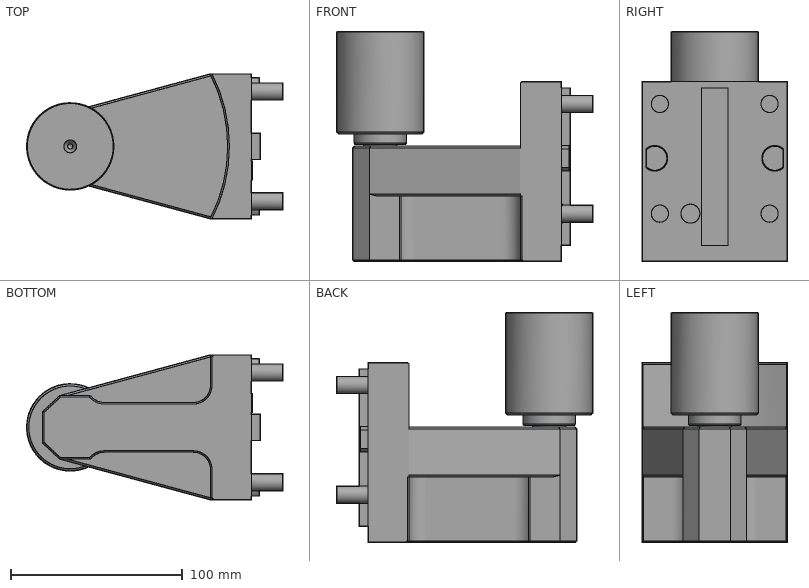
import cadquery as cq
import math


knob_radius = 51.0 / 2
knob_bottom = 74.1
knob_top = 134.0
knob_lower_chamfer = 1.3
knob_upper_chamfer = 0.5
neck_radius = 15.4
neck_bottom = 68.0
neck_chamfer = 0.9
shaft_radius = 9.9

countersink_radius = 3.7
countersink_half_angle = 30
drill_radius = 1.5
drill_length = 4.5
drill_tip_half_angle = 59

wall_front = 81.7
wall_back = 105.6
wall_top = 104.7
half_width = 42.3
hollow_radius = 91.7
rim_chamfer = 1.0
edge_chamfer = 0.9

nose_front = -16.1
nose_half_width = 9.1
flank_start = -6.1
column_half_width = 18.5
arm_top = 67.2
arm_chamfer = 1.2
ledge_height = 38.0
flank_slope = (half_width - column_half_width) / (wall_front - flank_start)

web_half_width = 14.5
fillet_radius = 10.0
web_front = 19.9
column_chamfer = 0.6
fillet_centre_y = web_half_width + fillet_radius
column_back = web_front - math.sqrt(fillet_radius**2 - (fillet_centre_y - column_half_width) ** 2)
web_back = wall_front - fillet_radius

pin_radius = 10.0 / 2
overall_length = 149.4
pin_end = overall_length - knob_radius
pin_offset = 32.0
mount_height = 59.8
lug_height = 60.0
rail_width = 15.4
rail_bottom = 9.3
rail_top = 101.1
rail_depth = 5.2
lug_span = 80.2
lug_diameter = 15.0
lug_end_flat = 10.8
lug_depth = 4.8
lug_chamfer = 0.5
button_radius = 5.5
button_depth = 0.5
button_y = -14.2


def box_between(x_range, y_range, z_range):
    """Box spanning the given ranges."""
    size = [high - low for low, high in (x_range, y_range, z_range)]
    corner = (x_range[0], y_range[0], z_range[0])
    return cq.Workplane("XY").box(*size, centered=False).translate(corner)


def cylinder_between(radius, bottom, top):
    """Cylinder about the knob axis."""
    return cq.Workplane("XY", origin=(0, 0, bottom)).circle(radius).extrude(top - bottom)


def wall_plane():
    """Plane on the back of the wall; local x is Y, local y is Z."""
    return cq.Workplane("YZ", origin=(wall_back, 0, 0))


def make_arm():
    """Tapered slab with chamfered edges, trimmed to the width of the wall."""
    back_half_width = column_half_width + flank_slope * (wall_back - flank_start)
    slab = (
        cq.Workplane("XY", origin=(0, 0, ledge_height))
        .moveTo(wall_back, -back_half_width)
        .lineTo(flank_start, -column_half_width)
        .lineTo(nose_front, -nose_half_width)
        .lineTo(nose_front, nose_half_width)
        .lineTo(flank_start, column_half_width)
        .lineTo(wall_back, back_half_width)
        .close()
        .extrude(arm_top - ledge_height)
    )
    slab = slab.faces(">Z").edges("not >X").chamfer(arm_chamfer)
    flank_zone = cq.selectors.BoxSelector(
        (0, -half_width, 0), (wall_front, half_width, ledge_height + arm_chamfer)
    )
    slab = slab.faces("<Z").edges(flank_zone).chamfer(arm_chamfer)
    width_limit = box_between((nose_front, wall_back), (-half_width, half_width), (0, arm_top))
    return slab.intersect(width_limit)


def make_base():
    """Column, narrow web and foot of the wall, with concave fillets between."""
    diagonal = fillet_radius * math.sqrt(0.5)
    wall_arc_middle = (web_back + diagonal, fillet_centre_y - diagonal)
    start_angle = math.atan2(column_half_width - fillet_centre_y, column_back - web_front)
    middle_angle = (start_angle - math.pi / 2) / 2
    column_arc_middle = (
        web_front + fillet_radius * math.cos(middle_angle),
        fillet_centre_y + fillet_radius * math.sin(middle_angle),
    )
    half = (
        cq.Workplane("XY")
        .moveTo(nose_front, 0)
        .lineTo(nose_front, nose_half_width)
        .lineTo(flank_start, column_half_width)
        .lineTo(column_back, column_half_width)
        .threePointArc(column_arc_middle, (web_front, web_half_width))
        .lineTo(web_back, web_half_width)
        .threePointArc(wall_arc_middle, (wall_front, fillet_centre_y))
        .lineTo(wall_front, half_width)
        .lineTo(wall_back, half_width)
        .lineTo(wall_back, 0)
        .close()
        .extrude(ledge_height + arm_chamfer)
    )
    base = half.union(half.mirror("XZ")).clean()
    for side in (-1, 1):
        for x, y, size in (
            (wall_front, half_width, edge_chamfer),
            (column_back, column_half_width, column_chamfer),
        ):
            corner = cq.selectors.NearestToPointSelector((x, side * y, ledge_height / 2))
            base = base.edges("|Z").edges(corner).chamfer(size)
    front_zone = cq.selectors.BoxSelector(
        (nose_front - 1.5, -half_width, -1.5), (wall_front + edge_chamfer, half_width, 1.5)
    )
    return base.faces("<Z").edges(front_zone).chamfer(edge_chamfer)


def make_wall():
    """Upper wall, hollowed by an arc about the knob axis, on its solid root."""
    sides = (-half_width, half_width)
    root = box_between((wall_front, wall_back), sides, (ledge_height, arm_top))
    upper = box_between((wall_front, wall_back), sides, (arm_top, wall_top))
    hollow = cylinder_between(hollow_radius, arm_top, wall_top)
    rim_start = cq.Vector(0, 0, wall_top - rim_chamfer)
    rim_cone = cq.Solid.makeCone(hollow_radius, hollow_radius + rim_chamfer, rim_chamfer, pnt=rim_start)
    return root.union(upper.cut(hollow).cut(cq.Workplane(rim_cone)))


def make_knob():
    """Cylindrical knob with its neck and shaft, centre-drilled from the top."""
    head = cylinder_between(knob_radius, knob_bottom, knob_top)
    head = head.faces("<Z").chamfer(knob_lower_chamfer).faces(">Z").chamfer(knob_upper_chamfer)
    neck = cylinder_between(neck_radius, neck_bottom, knob_bottom)
    neck = neck.faces("<Z").chamfer(neck_chamfer)
    shaft = cylinder_between(shaft_radius, ledge_height, neck_bottom)

    countersink_depth = (countersink_radius - drill_radius) / math.tan(math.radians(countersink_half_angle))
    tip_length = drill_radius / math.tan(math.radians(drill_tip_half_angle))
    countersink_end = knob_top - countersink_depth
    drill_end = countersink_end - drill_length
    drill = (
        cq.Workplane("XZ")
        .moveTo(0, knob_top)
        .lineTo(countersink_radius, knob_top)
        .lineTo(drill_radius, countersink_end)
        .lineTo(drill_radius, drill_end)
        .lineTo(0, drill_end - tip_length)
        .close()
        .revolve(360, (0, 0, 0), (0, 1, 0))
    )
    return head.union(neck).union(shaft).cut(drill)


def make_pins():
    """Four dowel pins at the corners of a square."""
    return (
        wall_plane()
        .center(0, mount_height)
        .rect(2 * pin_offset, 2 * pin_offset, forConstruction=True)
        .vertices()
        .circle(pin_radius)
        .extrude(pin_end - wall_back)
    )


def make_lugs():
    """Two shallow round lugs, each cut flat on its outer side."""
    radius = lug_diameter / 2
    centre_offset = lug_span / 2 - math.sqrt(radius**2 - (lug_end_flat / 2) ** 2)
    discs = (
        wall_plane()
        .pushPoints([(-centre_offset, lug_height), (centre_offset, lug_height)])
        .circle(radius)
        .extrude(lug_depth)
    )
    trim = wall_plane().center(0, lug_height).rect(lug_span, lug_diameter).extrude(lug_depth)
    return discs.intersect(trim).faces(">X").chamfer(lug_chamfer)


def make_rail():
    """Upright rail on the middle of the wall."""
    return box_between(
        (wall_back, wall_back + rail_depth),
        (-rail_width / 2, rail_width / 2),
        (rail_bottom, rail_top),
    )


def make_button():
    """Shallow round pad beside the rail, level with the lower pins."""
    centre = (button_y, mount_height - pin_offset)
    return wall_plane().center(*centre).circle(button_radius).extrude(button_depth)


result = make_base()
for feature in (make_arm(), make_wall(), make_knob(), make_pins(), make_rail(), make_lugs(), make_button()):
    result = result.union(feature)